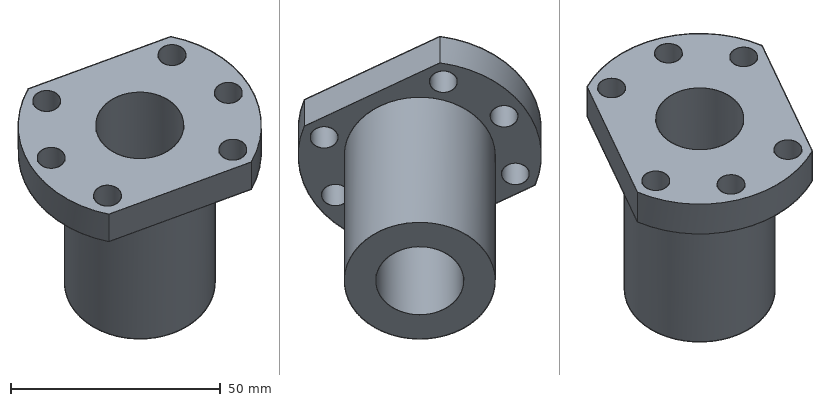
import cadquery as cq

flange_diameter = 58.0
flange_width = 44.0
flange_thickness = 10.0

total_height = 57.0
body_diameter = 36.0
body_height = total_height - flange_thickness
bore_diameter = 21.0

hole_diameter = 6.6
hole_circle_diameter = 47.0
hole_spacing_angle = 45
holes_per_end = 3
end_directions = (90, 270)


def make_flange():
    disc = cq.Workplane("XY").circle(flange_diameter / 2).extrude(flange_thickness)
    flats = cq.Workplane("XY").rect(flange_width, flange_diameter).extrude(flange_thickness)
    return disc.intersect(flats).translate((0, 0, body_height))


def make_body():
    return cq.Workplane("XY").circle(body_diameter / 2).extrude(body_height)


def make_bore():
    return cq.Workplane("XY").circle(bore_diameter / 2).extrude(total_height)


def make_end_holes(direction):
    """Through holes centred on one rounded end of the flange."""
    first_angle = direction - hole_spacing_angle * (holes_per_end - 1) / 2
    return (
        cq.Workplane("XY", origin=(0, 0, body_height))
        .polarArray(
            hole_circle_diameter / 2, first_angle, hole_spacing_angle, holes_per_end, fill=False
        )
        .circle(hole_diameter / 2)
        .extrude(flange_thickness)
    )


result = make_body().union(make_flange()).cut(make_bore())
for end_direction in end_directions:
    result = result.cut(make_end_holes(end_direction))